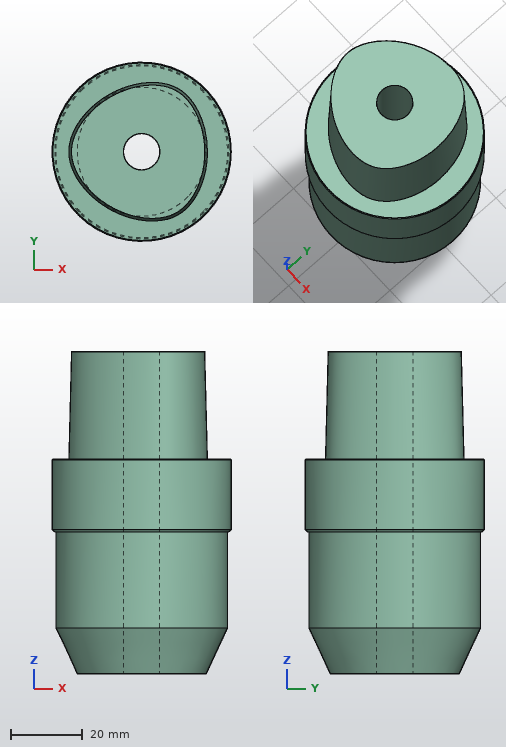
import cadquery as cq
import math

total_height = 90.0
shank_length = 30.0
flange_length = 20.4
nose_length = 12.9
flange_top = total_height - shank_length
flange_bottom = flange_top - flange_length

flange_diameter = 50.0
body_diameter = 48.0
tip_diameter = 36.0
bore_diameter = 10.1
flange_top_chamfer = 0.3
flange_bottom_chamfer = 0.7

shank_base_width = 38.7
shank_taper = 1 / 20
shank_top_width = shank_base_width - shank_taper * shank_length
lobe_height = 1.0
profile_points = 72


def lobed_wire(width, height):
    """Closed three-lobed outline, with one lobe pointing along -X."""
    def point(turn):
        angle = 2 * math.pi * turn
        x = width / 2 * math.cos(angle)
        x += lobe_height * (math.cos(4 * angle) - 2 * math.cos(2 * angle))
        y = width / 2 * math.sin(angle)
        y += lobe_height * (math.sin(4 * angle) + 2 * math.sin(2 * angle))
        return cq.Vector(x, y, height)

    points = [point(i / profile_points) for i in range(profile_points)]
    return cq.Wire.assembleEdges([cq.Edge.makeSpline(points, periodic=True)])


def make_shank():
    base = lobed_wire(shank_base_width, flange_top)
    top = lobed_wire(shank_top_width, total_height)
    return cq.Workplane(obj=cq.Solid.makeLoft([base, top], True))


def make_body():
    """Straight cylinder with a conical nose at the bottom."""
    return (
        cq.Workplane("XZ")
        .moveTo(0, 0)
        .lineTo(tip_diameter / 2, 0)
        .lineTo(body_diameter / 2, nose_length)
        .lineTo(body_diameter / 2, flange_bottom)
        .lineTo(0, flange_bottom)
        .close()
        .revolve(360, (0, 0, 0), (0, 1, 0))
    )


def make_flange():
    return (
        cq.Workplane("XY", origin=(0, 0, flange_bottom))
        .circle(flange_diameter / 2)
        .extrude(flange_length)
        .faces(">Z").chamfer(flange_top_chamfer)
        .faces("<Z").chamfer(flange_bottom_chamfer)
    )


bore = cq.Workplane("XY").circle(bore_diameter / 2).extrude(total_height)

result = make_body().union(make_flange()).union(make_shank()).cut(bore)